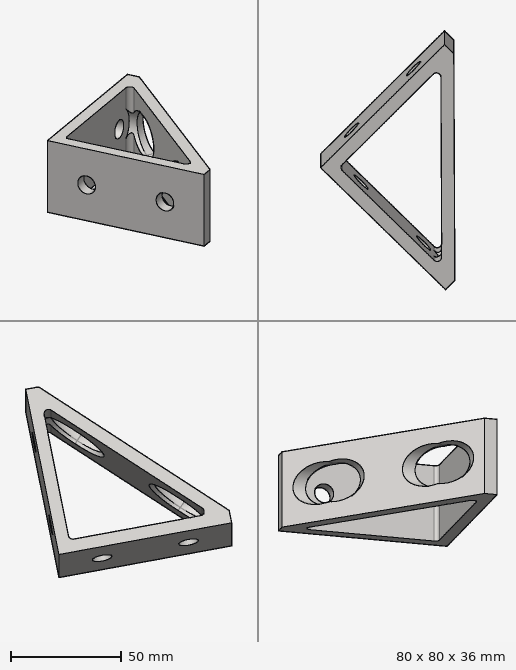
import cadquery as cq
import math

leg_length = 80.0
height = 36.0
leg_wall = 6.0
brace_wall = 6.0
tip_width = 6.0
corner_radius = 2.0
bolt_diameter = 9.0
access_diameter = 20.0
bolt_places = (leg_length / 4, leg_length * 3 / 4)
mid_height = height / 2

block = (
    cq.Workplane("XY")
    .polyline([
        (0, 0),
        (leg_length, 0),
        (leg_length, tip_width),
        (tip_width, leg_length),
        (0, leg_length),
    ])
    .close()
    .extrude(height)
)

outer_sum = leg_length + tip_width
inner_sum = outer_sum - brace_wall * math.sqrt(2)
window_end = inner_sum - leg_wall
window = (
    cq.Workplane("XY")
    .polyline([
        (leg_wall, leg_wall),
        (window_end, leg_wall),
        (leg_wall, window_end),
    ])
    .close()
    .extrude(height)
    .edges("|Z")
    .fillet(corner_radius)
)


def hole_along(axis, place, diameter, start, length):
    """Cylinder at mid height, along X or Y, starting at the given distance."""
    if axis == "X":
        origin = cq.Vector(start, place, mid_height)
        direction = cq.Vector(1, 0, 0)
    else:
        origin = cq.Vector(place, start, mid_height)
        direction = cq.Vector(0, 1, 0)
    return cq.Solid.makeCylinder(diameter / 2, length, origin, direction)


result = block.cut(window)

for axis in ("X", "Y"):
    for place in bolt_places:
        result = result.cut(cq.Workplane(obj=hole_along(axis, place, bolt_diameter, 0, leg_wall)))
        access = hole_along(axis, place, access_diameter, leg_wall, leg_length)
        result = result.cut(cq.Workplane(obj=access))